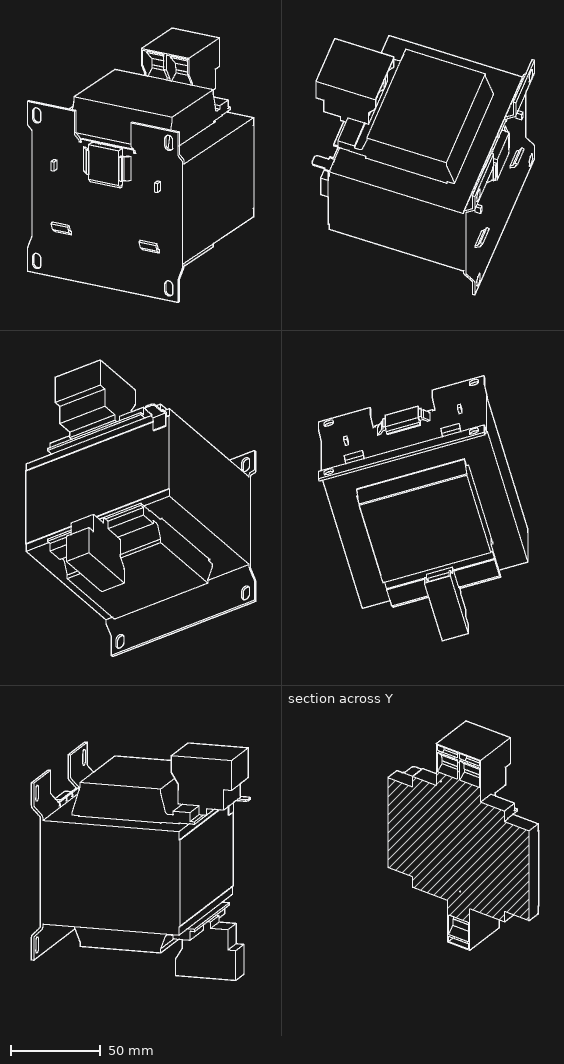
import cadquery as cq
import math


core_width = 96.0
core_front = 6.8
core_back = 86.4
core_half_height = 29.7
window_half_width = 32.4
window_front = 22.5
window_back = 70.6

label_thickness = 0.5
label_half_height = 24.9

bobbin_half_width = 31.3
upper_crown = 48.8
lower_crown = 45.4
crown_land = 2.4
bobbin_front = 18.3
bobbin_skirt_top = 31.0
bobbin_crown_front = 23.1
bobbin_crown_back = 70.3
shelf_top = 36.7
shelf_front = 77.5
shelf_back = 87.4
groove_floor = 34.6
groove_front = 73.3
groove_radius = 1.8
lip_back = 90.0
lip_top = 31.5
lip_bottom = 30.1
lip_front = 80.9

block_width = 15.1
block_wall = 0.9
block_top = 64.1
block_front = 71.2
block_back = 106.4
nose_front = 75.1
nose_top = 48.0
brow_bottom = 54.4
heel_back = 91.8
step_bottom = 35.3
step_back = 101.8
overhang_bottom = 46.9
pocket_back = 84.0
pocket_wall = 82.0
ledge_back_top = 57.0
ledge_front_top = 55.8
pocket_floor_back = 48.8
pocket_floor_front = 44.5
lever_thickness = 1.2
lever_foot = (81.9, 50.8)
lever_bend = (81.5, 54.7)
lever_tip = (75.8, 60.3)

sheet = 1.5
bend_radius = 1.2
plate_face = core_front - sheet
foot_half_height = 50.9
foot_corner = 36.9
slot_x = 42.0
slot_z = 43.6
slot_length = 9.0
slot_width = 5.1
notch_width = 35.9
notch_floor = 32.5
relief_width = 1.3
relief_floor = 30.6
tongue_width = 8.7
tongue_slit = 1.3

clip_half_width = 9.6
clip_face = 0.9
clip_top = 32.2
clip_bottom = 9.2
clip_chamfer = 2.2
clip_lip_back = 4.6
clip_lip_top = 10.1
wing_bottom = 14.0
wing_top = 28.3
wing_face = 1.4
wing_step = 1.2
wing_step_x = 11.2
wing_root_x = 15.3
wing_bend_x = 12.0
wing_sheet = 1.0
wing_root_width = 1.5

stop_inner_x = 32.0
stop_width = 1.8
stop_face = 1.8
stop_bottom = 11.5
stop_height = 5.5
hook_inner_x = 22.7
hook_width = 10.6
hook_lower_side = [(6.0, -26.4), (5.3, -26.0), (2.4, -23.8), (0.8, -19.9)]
hook_upper_side = [(6.0, -24.6), (5.3, -24.1), (3.7, -22.8), (2.2, -19.2)]

tab_x = -42.0
tab_thickness = 1.0
tab_top = 27.7
tab_base_width = 8.1
tab_base_back = 90.0
tab_blade_width = 6.3
tab_blade_back = 98.1
tab_tip_chamfer = 1.2
tab_strap_thickness = 1.3
tab_strap_bottom = 18.2


def box(x_range, y_range, z_range):
    """Block filling the given ranges along X, Y and Z."""
    size = [high - low for low, high in (x_range, y_range, z_range)]
    corner = (x_range[0], y_range[0], z_range[0])
    return cq.Workplane("XY").box(*size, centered=False).translate(corner)


def side_prism(points, x_low, x_high):
    """Closed (Y, Z) outline extruded along X."""
    return cq.Workplane("YZ", origin=(x_low, 0, 0)).polyline(points).close().extrude(x_high - x_low)


def both_sides(body):
    """The body together with its copy on the other side in X."""
    return body.union(body.mirror("YZ"))


def make_core():
    """Core with its see-through coil clearances and the label plate behind it."""
    half = core_width / 2
    core = box((-half, half), (core_front, core_back), (-core_half_height, core_half_height))
    gap = box(
        (bobbin_half_width, window_half_width),
        (window_front, window_back),
        (-core_half_height, core_half_height),
    )
    label = box(
        (-half, half),
        (core_back, core_back + label_thickness),
        (-label_half_height, label_half_height),
    )
    return core.cut(both_sides(gap)).union(label)


def make_bobbin_end(crown):
    """Bobbin end above the core whose flat crown lies at the given height."""
    shoulder = crown - crown_land
    groove_corner = (groove_front, groove_floor)
    outline = [
        (bobbin_front, core_half_height),
        (bobbin_front, bobbin_skirt_top),
        (bobbin_crown_front, shoulder),
        (bobbin_crown_front, crown),
        (bobbin_crown_back, crown),
        (bobbin_crown_back, shoulder),
        groove_corner,
        (shelf_front, groove_floor),
        (shelf_front, shelf_top),
        (shelf_back, shelf_top),
        (shelf_back, lip_top),
        (lip_back, lip_top),
        (lip_back, lip_bottom),
        (lip_front, lip_bottom),
        (lip_front, core_half_height),
    ]
    body = side_prism(outline, -bobbin_half_width, bobbin_half_width)
    corner_edge = cq.selectors.NearestToPointSelector((0, *groove_corner))
    return body.edges(corner_edge).fillet(groove_radius)


def make_terminal_block(x_center):
    """Terminal block above the core with a wire pocket and a clamping lever."""
    x_low = x_center - block_width / 2
    x_high = x_center + block_width / 2
    housing = [
        (block_front, block_top),
        (block_front, brow_bottom),
        (nose_front, nose_top),
        (nose_front, shelf_top),
        (shelf_back, shelf_top),
        (shelf_back, lip_top),
        (heel_back, lip_top),
        (heel_back, step_bottom),
        (step_back, step_bottom),
        (step_back, overhang_bottom),
        (block_back, overhang_bottom),
        (block_back, block_top),
    ]
    pocket_top = block_top - block_wall
    pocket = [
        (block_front, pocket_top),
        (pocket_back, pocket_top),
        (pocket_back, ledge_back_top),
        (pocket_wall, ledge_front_top),
        (pocket_wall, pocket_floor_back),
        (nose_front, pocket_floor_front),
        (block_front, pocket_floor_front),
    ]
    reach = math.dist(lever_bend, lever_tip)
    offset_y = (lever_tip[1] - lever_bend[1]) / reach * lever_thickness
    offset_z = (lever_bend[0] - lever_tip[0]) / reach * lever_thickness
    lever_top = (lever_tip[0] + offset_y, lever_tip[1] + offset_z)
    lever_back = (lever_bend[0] + offset_y, lever_bend[1] + offset_z)
    lever = [
        lever_foot,
        lever_bend,
        lever_tip,
        lever_top,
        lever_back,
        (lever_back[0], lever_foot[1]),
    ]
    inner_low = x_low + block_wall
    inner_high = x_high - block_wall
    block = side_prism(housing, x_low, x_high)
    block = block.cut(side_prism(pocket, inner_low, inner_high))
    return block.union(side_prism(lever, inner_low, inner_high))


def make_mounting_plate():
    """Sheet plate with slotted feet joggled forward at both ends."""
    half = core_width / 2
    face_corner = foot_corner - plate_face
    miter = sheet * math.tan(math.radians(45 / 2))
    front_side = [(plate_face, face_corner), (0, foot_corner), (0, foot_half_height)]
    back_side = [(sheet, foot_half_height), (sheet, foot_corner + miter), (core_front, face_corner + miter)]
    upper = front_side + back_side
    lower = [(y, -z) for y, z in reversed(upper)]
    plate = side_prism(upper + lower, -half, half)
    for end in (-1, 1):
        bends = (
            (plate_face, face_corner, bend_radius),
            (0, foot_corner, bend_radius + sheet),
            (sheet, foot_corner + miter, bend_radius),
            (core_front, face_corner + miter, bend_radius + sheet),
        )
        for y, z, radius in bends:
            bend_edge = cq.selectors.NearestToPointSelector((0, y, end * z))
            plate = plate.edges(bend_edge).fillet(radius)

    slots = (
        cq.Workplane("XZ")
        .rect(2 * slot_x, 2 * slot_z, forConstruction=True)
        .vertices()
        .slot2D(slot_length, slot_width, 90)
        .extrude(-sheet)
    )
    plate = plate.cut(slots)

    notch_half = notch_width / 2
    open_y = (0, core_front)
    opening = box((-notch_half, notch_half), open_y, (notch_floor, foot_half_height))
    bend_front = box((-notch_half, notch_half), (0, plate_face), (relief_floor, foot_half_height))
    relief = box((notch_half - relief_width, notch_half), open_y, (relief_floor, notch_floor))
    slit_x = tongue_width / 2
    slit = box((slit_x, slit_x + tongue_slit), open_y, (relief_floor, notch_floor))
    return plate.cut(opening).cut(bend_front).cut(both_sides(relief.union(slit)))


def make_rail_clip():
    """Clip block with a bent spring wing on each side."""
    outline = [
        (plate_face, clip_top),
        (clip_face, clip_top),
        (clip_face, clip_bottom + clip_chamfer),
        (clip_face + clip_chamfer, clip_bottom),
        (clip_lip_back, clip_bottom),
        (clip_lip_back, clip_lip_top),
        (plate_face, clip_lip_top),
    ]
    clip = side_prism(outline, -clip_half_width, clip_half_width)
    bend_y = wing_face + wing_step
    wing_outline = [
        (wing_root_x, plate_face),
        (wing_bend_x, bend_y),
        (wing_step_x, bend_y),
        (wing_step_x, wing_face),
        (clip_half_width, wing_face),
        (clip_half_width, bend_y + wing_sheet),
        (wing_bend_x - wing_sheet / 2, bend_y + wing_sheet),
        (wing_root_x - wing_root_width, plate_face),
    ]
    wing = cq.Workplane("XY", origin=(0, 0, wing_bottom)).polyline(wing_outline).close()
    return clip.union(both_sides(wing.extrude(wing_top - wing_bottom)))


def make_stops():
    """Pair of small rectangular stops standing on the plate face."""
    return both_sides(
        box(
            (stop_inner_x, stop_inner_x + stop_width),
            (stop_face, plate_face),
            (stop_bottom, stop_bottom + stop_height),
        )
    )


def make_hooks():
    """Pair of bent sheet hooks lanced forward and up from the plate."""
    outline = hook_lower_side + hook_upper_side[::-1]
    return both_sides(side_prism(outline, hook_inner_x, hook_inner_x + hook_width))


def make_earth_tab():
    """Blade terminal bent back from a strap on the rear of the core."""
    half_base = tab_base_width / 2
    base_x = (tab_x - half_base, tab_x + half_base)
    tab_z = (tab_top - tab_thickness, tab_top)
    strap = box(base_x, (core_back, core_back + tab_strap_thickness), (tab_strap_bottom, tab_top))
    base = box(base_x, (core_back, tab_base_back), tab_z)
    half_blade = tab_blade_width / 2
    blade = box((tab_x - half_blade, tab_x + half_blade), (core_back, tab_blade_back), tab_z)
    blade = blade.edges("|Z and >Y").chamfer(tab_tip_chamfer)
    return strap.union(base).union(blade)


result = make_core()
result = result.union(make_bobbin_end(upper_crown))
result = result.union(make_bobbin_end(lower_crown).mirror("XY"))
for block_x in (-block_width / 2, block_width / 2):
    result = result.union(make_terminal_block(block_x))
result = result.union(make_terminal_block(0).mirror("XY"))
for feature in (make_mounting_plate(), make_rail_clip(), make_stops(), make_hooks(), make_earth_tab()):
    result = result.union(feature)